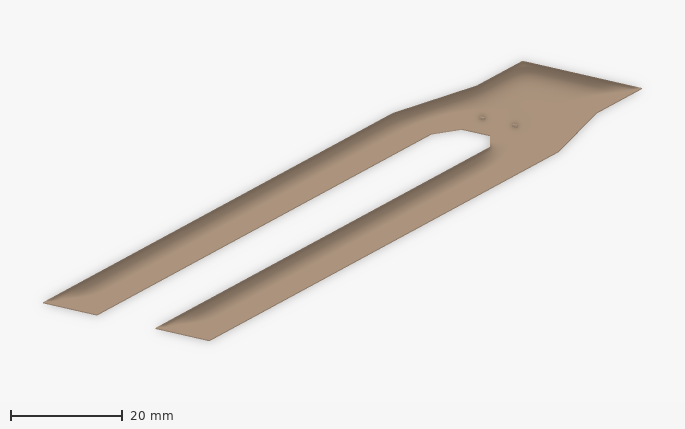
import cadquery as cq

length = 150.0
fork_width = 35.5
neck_width = 25.5
neck_length = 15.0
full_width_from_top = 35.0
total_height = 0.6
sheet_thickness = 0.2

slot_width = 12.5
slot_end_width = 6.0
slot_end_from_top = full_width_from_top
slot_corner_length = 5.0

chip_length = 1.0
chip_width = 0.5
chip_height = total_height - sheet_thickness
chip_from_top = 29.0
chip_x_positions = [-2.5, 4.5]

top_y = length / 2
bottom_y = -length / 2
slot_end_y = top_y - slot_end_from_top


def make_sheet():
    """Sheet with a narrow neck, tapered shoulders and two legs, drawn as a mirrored half."""
    right_half = [
        (0, top_y),
        (neck_width / 2, top_y),
        (neck_width / 2, top_y - neck_length),
        (fork_width / 2, top_y - full_width_from_top),
        (fork_width / 2, bottom_y),
        (slot_width / 2, bottom_y),
        (slot_width / 2, slot_end_y - slot_corner_length),
        (slot_end_width / 2, slot_end_y),
        (0, slot_end_y),
    ]
    return cq.Workplane("XY").polyline(right_half).mirrorY().extrude(sheet_thickness)


def make_chip(x):
    """Rectangular chip standing on the upper face of the sheet."""
    return (
        cq.Workplane("XY", origin=(x, top_y - chip_from_top, sheet_thickness))
        .box(chip_length, chip_width, chip_height, centered=(True, True, False))
    )


sheet = make_sheet()
chips = [make_chip(x) for x in chip_x_positions]

result = cq.Compound.makeCompound([sheet.val(), *[chip.val() for chip in chips]])